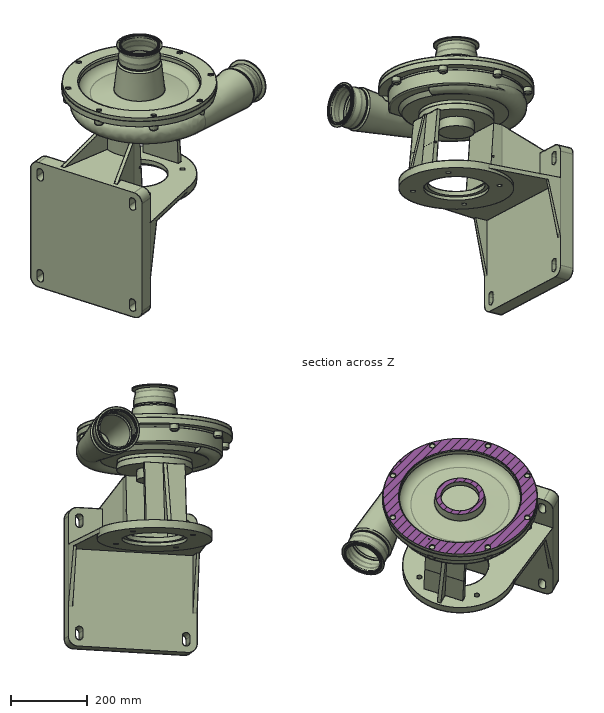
import cadquery as cq
import math

OVERALL_Z = 652.5
COVER_TOP_Z = 543.5
COVER_JOINT_Z = 533.5
FLANGE_BOTTOM_Z = 518.0
COLLAR_BOTTOM_Z = 513.0
OUTLET_Z = 484.0
CASING_STEP_Z = 473.0
CASING_FLOOR_Z = 460.0
HUB_TOP_Z = 450.5
HUB_BOTTOM_Z = 434.0
SHAFT_BOSS_BOTTOM_Z = 407.5
MOTOR_PLATE_TOP_Z = 271.0
MOTOR_PLATE_BOTTOM_Z = 259.0
MOTOR_RING_BOTTOM_Z = 250.0

PLATE_WIDTH = 350.0
PLATE_HEIGHT = 370.0
PLATE_THICKNESS = 40.0
PLATE_CORNER_R = 25.0
PLATE_BACK_Y = -250.0
PLATE_FRONT_Y = PLATE_BACK_Y + PLATE_THICKNESS
SLOT_WIDTH = 20.0
SLOT_LENGTH = 36.0
SLOT_SPACING_X = 290.0
SLOT_SPACING_Z = 300.0

MOTOR_PLATE_R = 150.0
MOTOR_BORE_R = 75.0
MOTOR_SPIGOT_R = 85.0
MOTOR_BOLT_CIRCLE_R = 115.0
MOTOR_BOLT_DIA = 13.0
MOTOR_BOLT_COUNT = 4
LOWER_RIB_THICKNESS = 12.0
LOWER_RIB_END_Y = -174.0
LOWER_RIB_BOTTOM_Z = 106.0

STAND_HALF_WIDTH = 55.0
WINDOW_LENGTH_Y = 169.5
WINDOW_TOP_Y = -81.0
WINDOW_SHIFT_Y = 12.0
FAR_WALL_TOP_THICKNESS = 9.5
FAR_WALL_BOTTOM_THICKNESS = 14.0
FAR_RIB_THICKNESS = 10.0
FAR_RIB_TOP_Y = 102.0
FAR_RIB_BOTTOM_Y = 143.0
GUSSET_START_Y = -107.0
GUSSET_END_Y = -236.0
GUSSET_ANGLE = 14.5
GUSSET_THICKNESS = 10.0
STAND_HOLE_DIA = 5.0
STAND_HOLE_Z = 340.0
STAND_HOLE_YS = (-79.5, 103.0)

FLANGE_R = 203.0
COVER_R = 201.5
RECESS_R = 161.5
RECESS_WALL_R = 158.5
RECESS_CHAMFER_DEPTH = 4.0
RECESS_WALL_DEPTH = 15.0
RECESS_FLOOR_R = 128.5
RECESS_FLOOR_Z = 509.0
RECESS_ARC_R = 34.0
RECESS_CENTRE_R = 68.0
RECESS_CENTRE_Z = 520.0
CASING_R = 177.5
COLLAR_R = 179.0
CASING_CORNER_R = 4.0
CASING_STEP_R = 151.0
CASING_FLOOR_R = 142.0
HUB_R = 99.0
HUB_NECK_R = 98.0
SHAFT_BOSS_R = 47.0
BOLT_CIRCLE_R = 190.0
BOLT_COUNT = 8
BOLT_HOLE_DIA = 14.0
BOLT_HOLE_DEPTH = 4.0
NUT_DIA = 23.0
NUT_HEIGHT = 16.5
NUT_CHAMFER = 3.5

OUTLET_X = 171.0
OUTLET_END_Y = 250.0
FERRULE_R = 59.5
FERRULE_RIM = 3.0
FERRULE_NECK_R = 51.0
FERRULE_NECK_START = 6.5
FERRULE_NECK_END = 14.5
FERRULE_SKIRT_R = 54.7
FERRULE_SKIRT_START = 31.5
FERRULE_SKIRT_END = 47.0
WELD_R = 53.0
WELD_END = 51.0
CONE_START_R = 58.0
CONE_START = 55.0
FERRULE_WALL = 3.0
GASKET_GROOVE_INNER_R = 51.5
GASKET_GROOVE_OUTER_R = 54.0
GASKET_GROOVE_DEPTH = 1.5
INLET_CONE_END_R = 66.5
INLET_BORE_DEPTH = 125.0
INLET_BORE_END_R = 50.0
OUTLET_CONE_END_R = 37.0
OUTLET_BORE_DEPTH = 200.0
OUTLET_BORE_END_R = 34.0

VOLUTE_START_ANGLE = 120
VOLUTE_END_ANGLE = 360
VOLUTE_ANGLE_STEP = 30
VOLUTE_START_CENTRE_R = 149.5
VOLUTE_START_TUBE_R = 23.0


def box_between(x_range, y_range, z_range):
    size = [high - low for low, high in (x_range, y_range, z_range)]
    corner = (x_range[0], y_range[0], z_range[0])
    return cq.Workplane("XY").box(*size, centered=False).translate(corner)


def disc(radius, bottom_z, top_z):
    return cq.Workplane("XY").workplane(offset=bottom_z).circle(radius).extrude(top_z - bottom_z)


def side_profile(points, width, centre_x=0.0):
    """Prism along X with an outline given as (y, z) points."""
    prism = cq.Workplane("YZ").polyline(points).close().extrude(width / 2, both=True)
    return prism.translate((centre_x, 0, 0))


def wall_plate():
    plate = box_between(
        (-PLATE_WIDTH / 2, PLATE_WIDTH / 2), (PLATE_BACK_Y, PLATE_FRONT_Y), (0, PLATE_HEIGHT)
    )
    plate = plate.edges("|Y").fillet(PLATE_CORNER_R)
    slots = (
        cq.Workplane("XZ", origin=(0, PLATE_FRONT_Y, PLATE_HEIGHT / 2))
        .rarray(SLOT_SPACING_X, SLOT_SPACING_Z, 2, 2)
        .slot2D(SLOT_LENGTH, SLOT_WIDTH, 90)
        .extrude(PLATE_THICKNESS)
    )
    return plate.cut(slots)


def motor_plate_plan(bottom_z, top_z):
    """Plan of the motor plate: half disc with straight flanks that widen to the wall plate."""
    corner_x = PLATE_WIDTH / 2
    return (
        cq.Workplane("XY", origin=(0, 0, bottom_z))
        .moveTo(-corner_x, PLATE_FRONT_Y)
        .lineTo(corner_x, PLATE_FRONT_Y)
        .lineTo(MOTOR_PLATE_R, 0)
        .threePointArc((0, MOTOR_PLATE_R), (-MOTOR_PLATE_R, 0))
        .close()
        .extrude(top_z - bottom_z)
    )


def motor_plate():
    web = motor_plate_plan(MOTOR_PLATE_BOTTOM_Z, MOTOR_PLATE_TOP_Z)
    plate = web.union(disc(MOTOR_PLATE_R, MOTOR_RING_BOTTOM_Z, MOTOR_PLATE_TOP_Z))
    plate = plate.cut(disc(MOTOR_BORE_R, MOTOR_RING_BOTTOM_Z, MOTOR_PLATE_TOP_Z))
    plate = plate.cut(disc(MOTOR_SPIGOT_R, MOTOR_RING_BOTTOM_Z, MOTOR_PLATE_BOTTOM_Z))
    bolt_holes = (
        cq.Workplane("XY", origin=(0, 0, MOTOR_RING_BOTTOM_Z))
        .polarArray(MOTOR_BOLT_CIRCLE_R, 45, 360, MOTOR_BOLT_COUNT)
        .circle(MOTOR_BOLT_DIA / 2)
        .extrude(MOTOR_PLATE_TOP_Z - MOTOR_RING_BOTTOM_Z)
    )
    return plate.cut(bolt_holes)


def lower_ribs():
    """Two triangular ribs under the motor plate, flush with its flanks."""
    outline = [
        (PLATE_FRONT_Y, MOTOR_PLATE_BOTTOM_Z),
        (LOWER_RIB_END_Y, MOTOR_PLATE_BOTTOM_Z),
        (PLATE_FRONT_Y, LOWER_RIB_BOTTOM_Z),
    ]
    centre_x = (PLATE_WIDTH - LOWER_RIB_THICKNESS) / 2
    right = side_profile(outline, LOWER_RIB_THICKNESS, centre_x)
    right = right.intersect(motor_plate_plan(LOWER_RIB_BOTTOM_Z, MOTOR_PLATE_BOTTOM_Z))
    return right.union(right.mirror("YZ"))


def splayed_gusset():
    """Right-hand gusset from the near wall of the stand to the wall plate, with a sloping top."""
    splay = math.tan(math.radians(GUSSET_ANGLE))
    thickness_x = GUSSET_THICKNESS / math.cos(math.radians(GUSSET_ANGLE))
    end_x = STAND_HALF_WIDTH + splay * (GUSSET_START_Y - GUSSET_END_Y)
    inner_x = STAND_HALF_WIDTH - thickness_x - splay * (WINDOW_TOP_Y - GUSSET_START_Y)
    inner_end_y = WINDOW_TOP_Y + WINDOW_SHIFT_Y
    plan = (
        cq.Workplane("XY", origin=(0, 0, MOTOR_PLATE_TOP_Z))
        .polyline([
            (STAND_HALF_WIDTH, inner_end_y),
            (STAND_HALF_WIDTH, GUSSET_START_Y),
            (end_x, GUSSET_END_Y),
            (end_x - thickness_x, GUSSET_END_Y),
            (inner_x, WINDOW_TOP_Y),
            (inner_x, inner_end_y),
        ])
        .close()
        .extrude(HUB_BOTTOM_Z - MOTOR_PLATE_TOP_Z)
    )
    side = side_profile(
        [
            (inner_end_y, MOTOR_PLATE_TOP_Z),
            (inner_end_y, HUB_BOTTOM_Z),
            (GUSSET_START_Y, HUB_BOTTOM_Z),
            (GUSSET_END_Y, PLATE_HEIGHT),
            (PLATE_FRONT_Y, PLATE_HEIGHT),
            (PLATE_FRONT_Y, MOTOR_PLATE_TOP_Z),
        ],
        PLATE_WIDTH,
    )
    return plan.intersect(side)


def gusset_infill():
    """Solid block between the gussets, level with the top of the wall plate."""
    splay = math.tan(math.radians(GUSSET_ANGLE))
    near_x = STAND_HALF_WIDTH - GUSSET_THICKNESS / 2
    far_x = near_x + splay * (GUSSET_START_Y - PLATE_FRONT_Y)
    return (
        cq.Workplane("XY", origin=(0, 0, MOTOR_PLATE_TOP_Z))
        .polyline([
            (-near_x, WINDOW_TOP_Y),
            (-near_x, GUSSET_START_Y),
            (-far_x, PLATE_FRONT_Y),
            (far_x, PLATE_FRONT_Y),
            (near_x, GUSSET_START_Y),
            (near_x, WINDOW_TOP_Y),
        ])
        .close()
        .extrude(PLATE_HEIGHT - MOTOR_PLATE_TOP_Z)
    )


def stand():
    """Near wall with its two gussets, far wall with its rib, and the sloping window between them."""
    near_wall = disc(HUB_R, MOTOR_PLATE_TOP_Z, HUB_BOTTOM_Z).intersect(
        box_between(
            (-STAND_HALF_WIDTH, STAND_HALF_WIDTH), (-HUB_R, 0), (MOTOR_PLATE_TOP_Z, HUB_BOTTOM_Z)
        )
    )
    gusset = splayed_gusset()

    far_inner_top = WINDOW_TOP_Y + WINDOW_LENGTH_Y
    far_inner_bottom = far_inner_top + WINDOW_SHIFT_Y
    far_wall = side_profile(
        [
            (far_inner_top, HUB_BOTTOM_Z),
            (far_inner_top + FAR_WALL_TOP_THICKNESS, HUB_BOTTOM_Z),
            (far_inner_bottom + FAR_WALL_BOTTOM_THICKNESS, MOTOR_PLATE_TOP_Z),
            (far_inner_bottom, MOTOR_PLATE_TOP_Z),
        ],
        2 * STAND_HALF_WIDTH,
    )
    far_rib = side_profile(
        [
            (far_inner_top, HUB_BOTTOM_Z),
            (FAR_RIB_TOP_Y, HUB_BOTTOM_Z),
            (FAR_RIB_BOTTOM_Y, MOTOR_PLATE_TOP_Z),
            (far_inner_bottom, MOTOR_PLATE_TOP_Z),
        ],
        FAR_RIB_THICKNESS,
    )
    window = side_profile(
        [
            (WINDOW_TOP_Y, HUB_BOTTOM_Z),
            (far_inner_top, HUB_BOTTOM_Z),
            (far_inner_bottom, MOTOR_PLATE_TOP_Z),
            (WINDOW_TOP_Y + WINDOW_SHIFT_Y, MOTOR_PLATE_TOP_Z),
        ],
        PLATE_WIDTH,
    )
    holes = (
        cq.Workplane("YZ")
        .pushPoints([(y, STAND_HOLE_Z) for y in STAND_HOLE_YS])
        .circle(STAND_HOLE_DIA / 2)
        .extrude(PLATE_WIDTH / 2, both=True)
    )
    near_side = near_wall.union(gusset).union(gusset.mirror("YZ")).union(gusset_infill()).cut(window)
    return near_side.union(far_wall).union(far_rib).cut(holes)


def casing():
    """Turned body of the casing: flange, cover, stepped floor, hub and shaft boss."""
    corner_z = CASING_STEP_Z + CASING_CORNER_R
    body = (
        cq.Workplane("XZ")
        .moveTo(0, SHAFT_BOSS_BOTTOM_Z)
        .lineTo(SHAFT_BOSS_R, SHAFT_BOSS_BOTTOM_Z)
        .lineTo(SHAFT_BOSS_R, HUB_BOTTOM_Z)
        .lineTo(HUB_R, HUB_BOTTOM_Z)
        .lineTo(HUB_R, HUB_TOP_Z)
        .lineTo(HUB_NECK_R, HUB_TOP_Z)
        .lineTo(HUB_NECK_R, CASING_FLOOR_Z)
        .lineTo(CASING_FLOOR_R, CASING_FLOOR_Z)
        .lineTo(CASING_STEP_R, CASING_STEP_Z)
        .lineTo(CASING_R - CASING_CORNER_R, CASING_STEP_Z)
        .radiusArc((CASING_R, corner_z), -CASING_CORNER_R)
        .lineTo(CASING_R, COLLAR_BOTTOM_Z)
        .lineTo(COLLAR_R, COLLAR_BOTTOM_Z)
        .lineTo(COLLAR_R, FLANGE_BOTTOM_Z)
        .lineTo(FLANGE_R, FLANGE_BOTTOM_Z)
        .lineTo(FLANGE_R, COVER_JOINT_Z)
        .lineTo(COVER_R, COVER_JOINT_Z)
        .lineTo(COVER_R, COVER_TOP_Z)
        .lineTo(0, COVER_TOP_Z)
        .close()
        .revolve(360, (0, 0, 0), (0, 1, 0))
    )
    nuts = (
        cq.Workplane("XY", origin=(0, 0, FLANGE_BOTTOM_Z - NUT_HEIGHT))
        .polarArray(BOLT_CIRCLE_R, 0, 360, BOLT_COUNT)
        .circle(NUT_DIA / 2)
        .extrude(NUT_HEIGHT)
        .faces("<Z")
        .chamfer(NUT_CHAMFER)
    )
    bolt_holes = (
        cq.Workplane("XY", origin=(0, 0, COVER_TOP_Z - BOLT_HOLE_DEPTH))
        .polarArray(BOLT_CIRCLE_R, 0, 360, BOLT_COUNT)
        .circle(BOLT_HOLE_DIA / 2)
        .extrude(BOLT_HOLE_DEPTH)
    )
    return body.union(nuts).cut(bolt_holes)


def cover_recess():
    """Dished recess in the cover, with a floor that rises towards the inlet."""
    return (
        cq.Workplane("XZ")
        .moveTo(0, COVER_TOP_Z)
        .lineTo(RECESS_R, COVER_TOP_Z)
        .lineTo(RECESS_WALL_R, COVER_TOP_Z - RECESS_CHAMFER_DEPTH)
        .lineTo(RECESS_WALL_R, COVER_TOP_Z - RECESS_WALL_DEPTH)
        .radiusArc((RECESS_FLOOR_R, RECESS_FLOOR_Z), RECESS_ARC_R)
        .lineTo(RECESS_CENTRE_R, RECESS_CENTRE_Z)
        .lineTo(0, RECESS_CENTRE_Z)
        .close()
        .revolve(360, (0, 0, 0), (0, 1, 0))
    )


def nozzle(length, end_radius):
    """Ferrule and cone turned about Z, with the mouth at Z = 0 and the cone running down."""
    outline = [
        (0, 0),
        (FERRULE_R, 0),
        (FERRULE_R, -FERRULE_RIM),
        (FERRULE_NECK_R, -FERRULE_NECK_START),
        (FERRULE_NECK_R, -FERRULE_NECK_END),
        (FERRULE_SKIRT_R, -FERRULE_SKIRT_START),
        (FERRULE_SKIRT_R, -FERRULE_SKIRT_END),
        (WELD_R, -FERRULE_SKIRT_END),
        (WELD_R, -WELD_END),
        (CONE_START_R, -CONE_START),
        (end_radius, -length),
        (0, -length),
    ]
    return cq.Workplane("XZ").polyline(outline).close().revolve(360, (0, 0, 0), (0, 1, 0))


def nozzle_cut(depth, end_radius):
    """Blind bore that follows the inside of the nozzle, with a gasket groove round its mouth."""
    mouth_r = FERRULE_NECK_R - FERRULE_WALL
    inner_r = FERRULE_SKIRT_R - FERRULE_WALL
    outline = [
        (0, 0),
        (mouth_r, 0),
        (mouth_r, -FERRULE_NECK_END),
        (inner_r, -FERRULE_SKIRT_START),
        (inner_r, -FERRULE_SKIRT_END),
        (mouth_r, -WELD_END),
        (end_radius, -depth),
        (0, -depth),
    ]
    bore = cq.Workplane("XZ").polyline(outline).close().revolve(360, (0, 0, 0), (0, 1, 0))
    gasket_groove = (
        cq.Workplane("XY")
        .circle(GASKET_GROOVE_OUTER_R)
        .circle(GASKET_GROOVE_INNER_R)
        .extrude(-GASKET_GROOVE_DEPTH)
    )
    return bore.union(gasket_groove)


def at_inlet(shape):
    return shape.translate((0, 0, OVERALL_Z))


def at_outlet(shape):
    return shape.rotate((0, 0, 0), (1, 0, 0), -90).translate((OUTLET_X, OUTLET_END_Y, OUTLET_Z))


def volute():
    """Spiral tube round the casing that grows until it meets the outlet cone."""
    sections = []
    sweep_angle = VOLUTE_END_ANGLE - VOLUTE_START_ANGLE
    for degrees in range(VOLUTE_START_ANGLE, VOLUTE_END_ANGLE + 1, VOLUTE_ANGLE_STEP):
        progress = (degrees - VOLUTE_START_ANGLE) / sweep_angle
        centre_r = VOLUTE_START_CENTRE_R + progress**2 * (OUTLET_X - VOLUTE_START_CENTRE_R)
        tube_r = VOLUTE_START_TUBE_R + progress * (OUTLET_CONE_END_R - VOLUTE_START_TUBE_R)
        angle = math.radians(degrees)
        section_plane = cq.Plane(
            origin=(centre_r * math.cos(angle), centre_r * math.sin(angle), OUTLET_Z),
            xDir=(-math.cos(angle), -math.sin(angle), 0),
            normal=(-math.sin(angle), math.cos(angle), 0),
        )
        sections.append(cq.Workplane(section_plane).circle(tube_r).wires().val())
    return cq.Workplane("XY").newObject([cq.Solid.makeLoft(sections)])


inlet = at_inlet(nozzle(OVERALL_Z - RECESS_CENTRE_Z, INLET_CONE_END_R))
outlet = at_outlet(nozzle(OUTLET_END_Y, OUTLET_CONE_END_R))

pump = casing().union(volute()).union(outlet).cut(cover_recess()).union(inlet)
pump = pump.cut(at_inlet(nozzle_cut(INLET_BORE_DEPTH, INLET_BORE_END_R)))
pump = pump.cut(at_outlet(nozzle_cut(OUTLET_BORE_DEPTH, OUTLET_BORE_END_R)))

bracket = wall_plate().union(motor_plate()).union(lower_ribs()).union(stand())

result = bracket.union(pump)